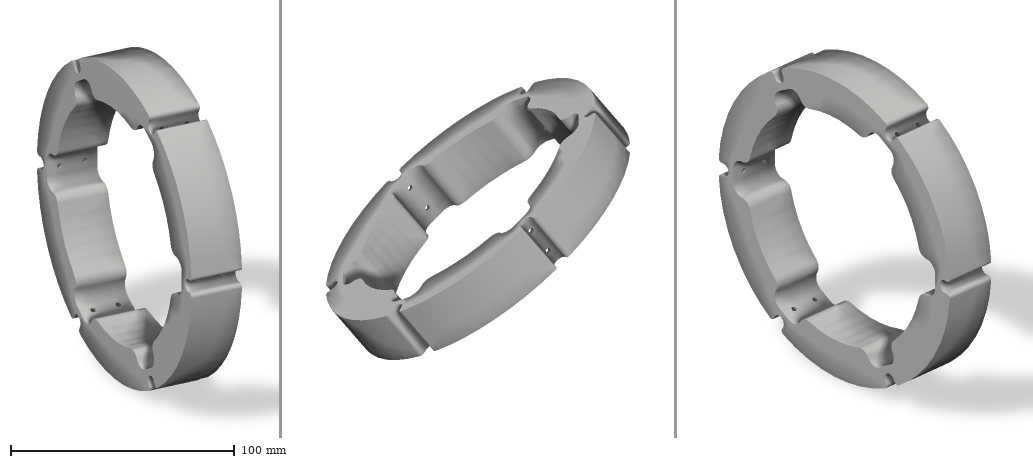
import cadquery as cq
import math

OUTER_RADIUS = 76.2
INNER_RADIUS = 57.2
THICKNESS = 25.5

STATION_COUNT = 6
STATION_ANGLES = [i * 360.0 / STATION_COUNT for i in range(STATION_COUNT)]

SLOT_HALF_WIDTH = 3.2
SLOT_BOTTOM_RADIUS = 69.6
SLOT_MOUTH_FILLET = 1.7

RECESS_HALF_WIDTH = 9.3
RECESS_FLOOR_RADIUS = 66.5
RECESS_FLOOR_FILLET = 5.6
RECESS_MOUTH_FILLET = 5.0

HOLE_DIAMETER = 2.5
HOLE_SPACING = THICKNESS / 2

CORNER_TOLERANCE = 0.02


def at_each_station(body):
    """Return the union of copies of a body made on +X, turned about Y to every station."""
    copies = cq.Workplane("XZ")
    for angle in STATION_ANGLES:
        copies = copies.add(body.rotate((0, 0, 0), (0, 1, 0), angle))
    return copies.combine()


def make_ring():
    profile = cq.Workplane("XZ").circle(OUTER_RADIUS).circle(INNER_RADIUS)
    return profile.extrude(THICKNESS / 2, both=True)


def make_slot_cutter():
    """Straight slot ending in a half round, open past the outer face."""
    round_centre = SLOT_BOTTOM_RADIUS + SLOT_HALF_WIDTH
    open_end = OUTER_RADIUS + SLOT_HALF_WIDTH
    outline = (
        cq.Workplane("XZ")
        .moveTo(open_end, SLOT_HALF_WIDTH)
        .lineTo(round_centre, SLOT_HALF_WIDTH)
        .threePointArc((SLOT_BOTTOM_RADIUS, 0), (round_centre, -SLOT_HALF_WIDTH))
        .lineTo(open_end, -SLOT_HALF_WIDTH)
        .close()
    )
    return outline.extrude(THICKNESS / 2, both=True)


def make_recess_cutter():
    """Block from inside the bore out to the recess floor."""
    inner_end = INNER_RADIUS - RECESS_HALF_WIDTH
    length = RECESS_FLOOR_RADIUS - inner_end
    block = cq.Workplane("XY").box(length, THICKNESS, 2 * RECESS_HALF_WIDTH)
    return block.translate((inner_end + length / 2, 0, 0))


def make_hole_cutter():
    """Two parallel holes running from the recess to the slot."""
    return (
        cq.Workplane("YZ", origin=(INNER_RADIUS, 0, 0))
        .rarray(HOLE_SPACING, 1.5, 2, 1)
        .circle(HOLE_DIAMETER / 2)
        .extrude(OUTER_RADIUS - INNER_RADIUS)
    )


def fillet_corners(body, x, z, fillet_radius):
    """Fillet the corner edges at (x, +z) and (x, -z) of every station."""
    corners = []
    for angle in STATION_ANGLES:
        turn = cq.Vector(0, 0, 0), cq.Vector(0, 1, 0), angle
        for side in (1, -1):
            corner = cq.Vertex.makeVertex(x, 0, side * z).rotate(*turn)
            corners.append(corner.Center())

    def is_corner(edge):
        return any((edge.Center() - corner).Length < CORNER_TOLERANCE for corner in corners)

    return body.edges("|Y").filter(is_corner).fillet(fillet_radius)


ring = make_ring()
ring = ring.cut(at_each_station(make_slot_cutter()))
ring = ring.cut(at_each_station(make_recess_cutter()))

slot_mouth_x = math.sqrt(OUTER_RADIUS**2 - SLOT_HALF_WIDTH**2)
recess_mouth_x = math.sqrt(INNER_RADIUS**2 - RECESS_HALF_WIDTH**2)
ring = fillet_corners(ring, slot_mouth_x, SLOT_HALF_WIDTH, SLOT_MOUTH_FILLET)
ring = fillet_corners(ring, RECESS_FLOOR_RADIUS, RECESS_HALF_WIDTH, RECESS_FLOOR_FILLET)
ring = fillet_corners(ring, recess_mouth_x, RECESS_HALF_WIDTH, RECESS_MOUTH_FILLET)

result = ring.cut(at_each_station(make_hole_cutter()))